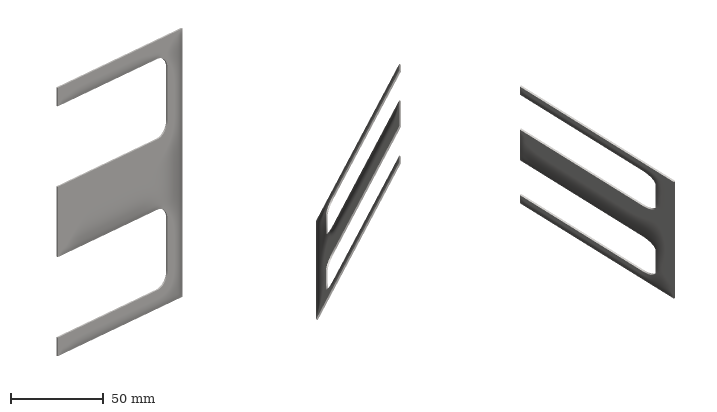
import cadquery as cq

thickness = 1.0
width = 100.0
height = 160.0

spine_width = 12.0
outer_arm_height = 11.0
slot_height = 48.0
slot_corner_radius = 8.5

slot_depth = width - spine_width
slot_center_y = -spine_width / 2
slot_center_z = height / 2 - outer_arm_height - slot_height / 2


def make_slot(center_z):
    """Slot cutter with its two inner corners rounded."""
    return (
        cq.Workplane("XY")
        .box(thickness, slot_depth, slot_height)
        .edges("|X and >Y")
        .fillet(slot_corner_radius)
        .translate((0, slot_center_y, center_z))
    )


result = cq.Workplane("XY").box(thickness, width, height)
for side in (-1, 1):
    result = result.cut(make_slot(side * slot_center_z))